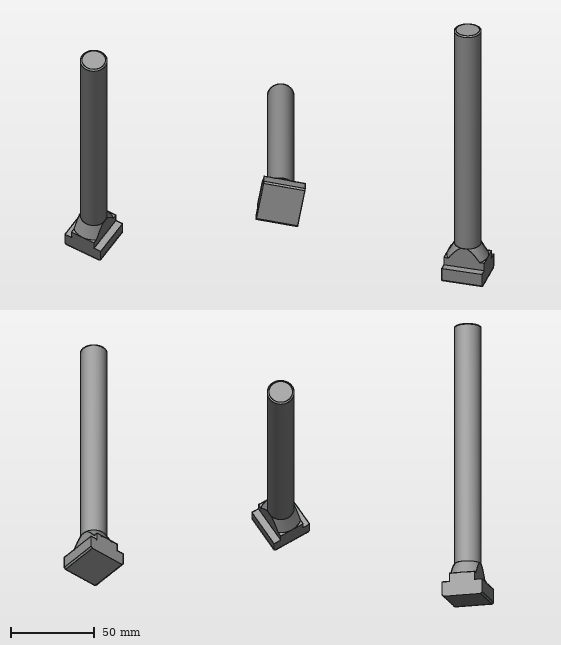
import cadquery as cq

total_length = 169.0
head_size = 25.0
head_height = 9.0
head_chamfer = 1.0

neck_width = 15.7
neck_top = 14.0
cone_top = 22.1
shank_radius = 16.0 / 2
tip_chamfer_width = 1.0
tip_chamfer_height = 0.7


def make_head():
    """Square T-slot head with its two lower side edges chamfered."""
    head = cq.Workplane("XY").box(head_size, head_size, head_height, centered=(True, True, False))
    return head.faces("<Z").edges("|Y").chamfer(head_chamfer)


def make_neck():
    """Flat-sided neck with a cone, trimmed to the neck width, rising to the shank."""
    block = cq.Workplane("XY").box(neck_width, head_size, neck_top, centered=(True, True, False))
    cone = (
        cq.Workplane("XZ")
        .moveTo(0, neck_top)
        .lineTo(head_size / 2, neck_top)
        .lineTo(shank_radius, cone_top)
        .lineTo(0, cone_top)
        .close()
        .revolve(360, (0, 0), (0, 1))
    )
    trim = cq.Workplane("XY").box(neck_width, head_size, cone_top, centered=(True, True, False))
    return block.union(cone.intersect(trim))


def make_shank():
    """Round shank along Z with a shallow chamfer at the tip."""
    shank = (
        cq.Workplane("XY")
        .workplane(offset=cone_top)
        .circle(shank_radius)
        .extrude(total_length - cone_top)
    )
    return shank.faces(">Z").chamfer(tip_chamfer_height, tip_chamfer_width)


result = make_head().union(make_neck()).union(make_shank())